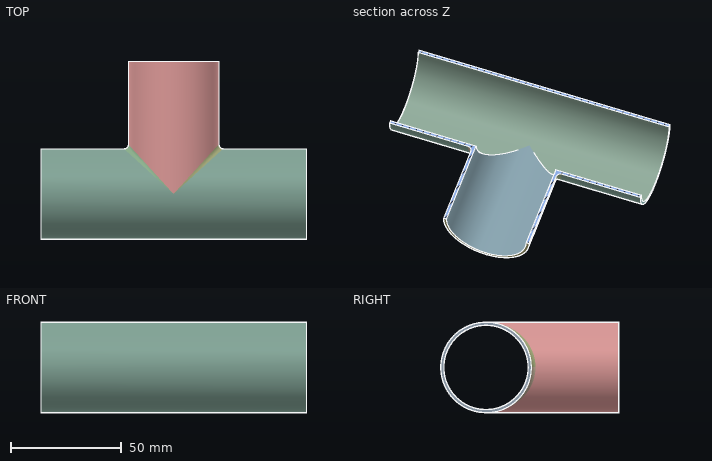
import cadquery as cq

outer_diameter = 41.0
bore_diameter = 38.0
run_length = 120.0
branch_reach = 60.0
crotch_radius = 2.0


def crossed_cylinders(diameter):
    """Solid tee of two equal cylinders whose axes cross at the origin."""
    run = cq.Workplane("YZ").circle(diameter / 2).extrude(run_length / 2, both=True)
    branch = cq.Workplane("XZ").circle(diameter / 2).extrude(-branch_reach)
    return run.union(branch)


def round_crotch(tee):
    """Fillet the mitred seam; its elliptical arcs are the only ellipses on the tee."""
    return tee.edges("%ELLIPSE").fillet(crotch_radius)


outer_body = round_crotch(crossed_cylinders(outer_diameter))
bores = crossed_cylinders(bore_diameter)

result = outer_body.cut(bores)